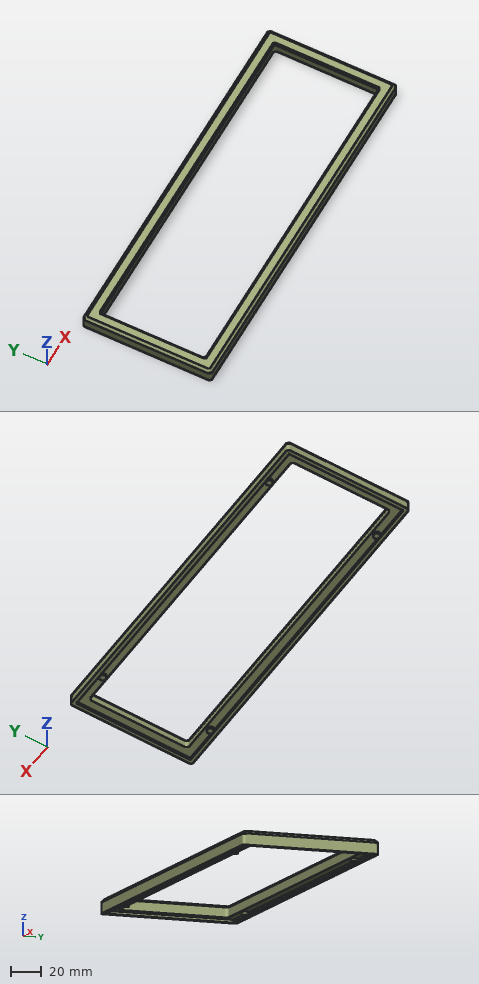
import cadquery as cq

LENGTH = 261.89
WIDTH = 95.2
HEIGHT = 9.6

WALL = 9.08
OUTER_CHAMFER = 2.1
INNER_CHAMFER = 1.04
OUTER_CORNER_RADIUS = 2.05
INNER_CORNER_RADIUS = 2.35

RIM_THICKNESS = 3.0
RECESS_DEPTH = 1.85

FOOT_DIAMETER = 4.7
FOOT_X = 100.0
FOOT_Y = 42.0


def inset_block(inset, height):
    """Block standing on Z = 0, its sides set in from the outer sides of the frame."""
    length = LENGTH - 2 * inset
    width = WIDTH - 2 * inset
    return cq.Workplane("XY").box(length, width, height, centered=(True, True, False))


def corner_edges(solid):
    """The upright and slanted edges that run down the corners."""
    return solid.edges("(not #Z) and (not |X) and (not |Y)")


def make_body():
    """Outer block: the top rim is chamfered, then each corner is rounded from top to bottom."""
    body = inset_block(0, HEIGHT).faces(">Z").edges().chamfer(OUTER_CHAMFER)
    return corner_edges(body).fillet(OUTER_CORNER_RADIUS)


def cut_window(body):
    """Open the window, chamfer its top rim, then round its corners from top to bottom."""
    frame = body.cut(inset_block(WALL, HEIGHT))
    inner_rim = frame.faces(">Z").wires(cq.selectors.LengthNthSelector(0))
    frame = inner_rim.chamfer(INNER_CHAMFER)

    half_x = (LENGTH - WALL) / 2
    half_y = (WIDTH - WALL) / 2
    window_region = cq.selectors.BoxSelector((-half_x, -half_y, 0), (half_x, half_y, HEIGHT))
    return corner_edges(frame).edges(window_region).fillet(INNER_CORNER_RADIUS)


def make_feet():
    """Feet from the underside up to the roof of the recess."""
    places = [(x, y) for x in (-FOOT_X, FOOT_X) for y in (-FOOT_Y, FOOT_Y)]
    return cq.Workplane("XY").pushPoints(places).circle(FOOT_DIAMETER / 2).extrude(RECESS_DEPTH)


recess = inset_block(RIM_THICKNESS, RECESS_DEPTH)

result = cut_window(make_body()).cut(recess).union(make_feet())